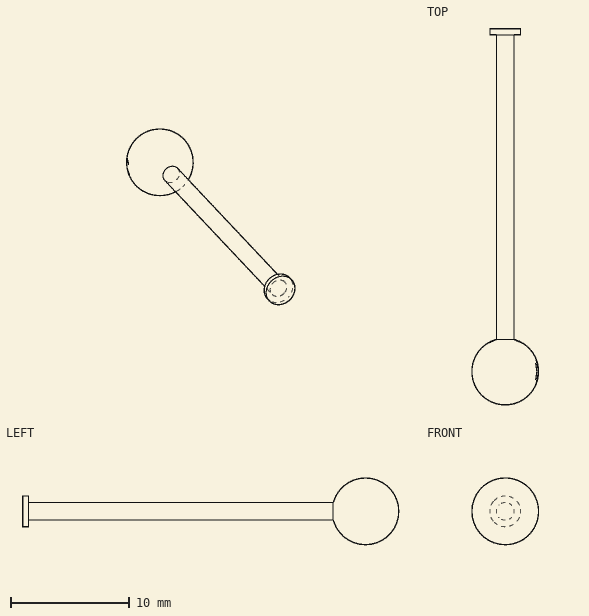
import cadquery as cq

total_length = 31.85
ball_diameter = 5.67
rod_diameter = 1.5
head_diameter = 2.6
head_thickness = 0.5

ball_radius = ball_diameter / 2
head_end_y = total_length - ball_radius
head_start_y = head_end_y - head_thickness


def cylinder_along_y(diameter, start_y, end_y):
    """Solid cylinder on the Y axis between two Y positions."""
    base = cq.Workplane("XZ", origin=(0, start_y, 0)).circle(diameter / 2)
    return base.extrude(start_y - end_y)


ball = cq.Workplane("XY").sphere(ball_radius)
rod = cylinder_along_y(rod_diameter, 0, head_end_y)
head = cylinder_along_y(head_diameter, head_start_y, head_end_y)

result = ball.union(rod).union(head)